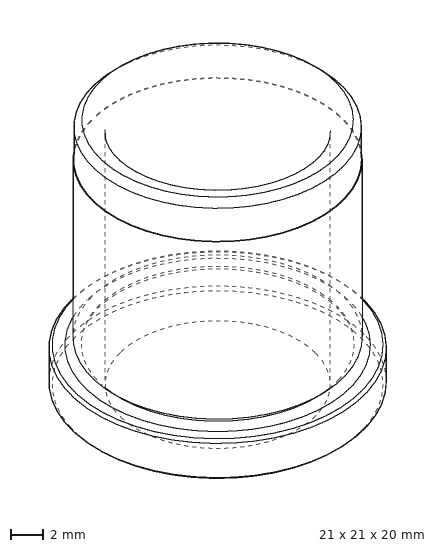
import cadquery as cq

flange_diameter = 21.0
flange_height = 3.0
flange_edge_chamfer = 0.2
total_height = 20.0
body_diameter = 18.0
pilot_diameter = 17.9
pilot_height = 3.0
tip_chamfer = 0.5
bore_diameter = 14.0
mouth_radius = 1.0

neck_depth = 0.5
neck_height = 0.59
rim_diameter = 19.0
rim_width = 0.42
rim_drop = 0.25

flange_radius = flange_diameter / 2
body_radius = body_diameter / 2
pilot_radius = pilot_diameter / 2
bore_radius = bore_diameter / 2
neck_radius = body_radius - neck_depth
neck_base = flange_height + neck_height - neck_depth
rim_radius = rim_diameter / 2
pilot_base = total_height - pilot_height

profile = (
    cq.Workplane("XZ")
    .moveTo(bore_radius, 0)
    .lineTo(flange_radius - flange_edge_chamfer, 0)
    .lineTo(flange_radius, flange_edge_chamfer)
    .lineTo(flange_radius, flange_height - flange_edge_chamfer)
    .lineTo(flange_radius - flange_edge_chamfer, flange_height)
    .lineTo(rim_radius, flange_height)
    .lineTo(rim_radius - rim_width, flange_height - rim_drop)
    .tangentArcPoint((neck_radius, neck_base), relative=False)
    .lineTo(body_radius, flange_height + neck_height)
    .lineTo(body_radius, pilot_base)
    .lineTo(pilot_radius, pilot_base)
    .lineTo(pilot_radius, total_height - tip_chamfer)
    .lineTo(pilot_radius - tip_chamfer, total_height)
    .lineTo(bore_radius + mouth_radius, total_height)
    .radiusArc((bore_radius, total_height - mouth_radius), -mouth_radius)
    .close()
)

result = profile.revolve(360, (0, 0, 0), (0, 1, 0))